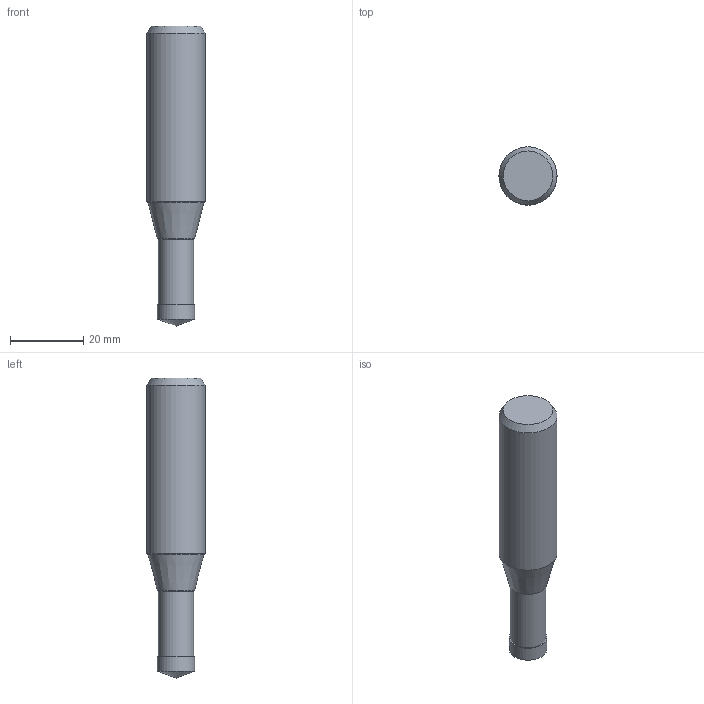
import cadquery as cq
import math

overall_length = 81.89
shank_diameter = 15.875
shank_radius = shank_diameter / 2

head_radius = 5.1
head_length = 4.0
point_angle = 140.0
point_height = head_radius / math.tan(math.radians(point_angle / 2))
head_top = point_height + head_length

neck_radius = 4.8
neck_length = 17.75
neck_top = head_top + neck_length
taper_bottom_radius = 5.1
taper_top_radius = 7.65
edge_break = 0.25
taper_length = 10.4
shank_bottom = neck_top + taper_length
chamfer_length = 2.0
chamfer_angle = 30.0
chamfer_width = chamfer_length * math.tan(math.radians(chamfer_angle))


def revolve_about_z(outline):
    """Turn a closed (radius, height) outline about the Z axis."""
    return cq.Workplane("XZ").polyline(outline).close().revolve(360, (0, 0, 0), (0, 1, 0))


def make_cutting_head():
    """Disc with its conical point at the origin."""
    return revolve_about_z([
        (0, 0),
        (head_radius, point_height),
        (head_radius, head_top),
        (0, head_top),
    ])


def make_holder():
    """Slim neck standing on the head, flaring through a taper into the shank, with a chamfered end."""
    return revolve_about_z([
        (0, head_top),
        (neck_radius, head_top),
        (neck_radius, neck_top),
        (taper_bottom_radius, neck_top + edge_break),
        (taper_top_radius, shank_bottom - edge_break),
        (shank_radius, shank_bottom),
        (shank_radius, overall_length - chamfer_length),
        (shank_radius - chamfer_width, overall_length),
        (0, overall_length),
    ])


cutting_head = make_cutting_head()
holder = make_holder()

result = cq.Compound.makeCompound([cutting_head.val(), holder.val()])